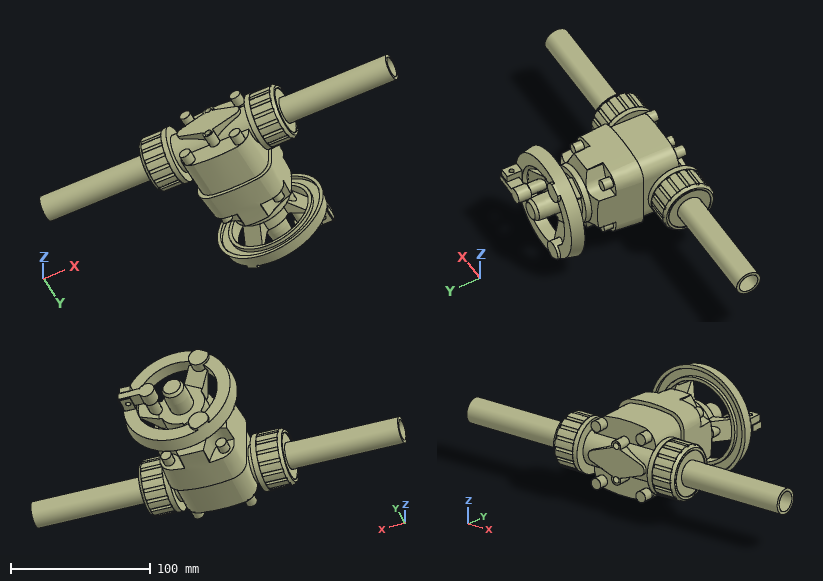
import cadquery as cq
import math


pipe_length = 280.0
pipe_diameter = 20.0
pipe_bore = 15.0
spigot_diameter = 28.8

nut_inner_x = 31.5
nut_collar_x = 35.8
nut_bevel_x = 52.0
nut_end_x = 54.5
nut_radius = 21.5
nut_end_radius = 19.3
nut_grip_radius = 21.3
nut_recess_diameter = 34.7
nut_recess_depth = 0.8
groove_count = 16
groove_radius = 1.25

body_base_y = -6.2
bonnet_base_y = 24.5
pocket_floor_y = 46.5
bonnet_top_y = 63.0
bonnet_height = bonnet_top_y - bonnet_base_y
bonnet_inset = 2.8
bonnet_taper = math.degrees(math.atan(bonnet_inset / bonnet_height))
body_quarter = (27.5, 15.7, (25.0, 23.5), (17.5, 28.5), 30.0)
bonnet_quarter = (30.0, 18.0, (27.2, 26.3), (20.0, 31.0), 33.0)
roof_edge_radius = 39.2
roof_edge_y = 56.5
pocket_mouth_x, pocket_mouth_z = 9.5, 29.7
pocket_floor_z = 14.0
pocket_arc_x = 22.5
pocket_radius = 10.0
pocket_wall_tilt = math.radians(22.0)
pocket_reach = 56.0

body_bolt_x, body_bolt_z = 20.2, 22.5
body_bolt_diameter = 8.7
body_bolt_end_y = -14.3
bonnet_bolt_x, bonnet_bolt_z = 21.0, 21.3
bonnet_bolt_diameter = 8.0
bonnet_bolt_end_y = 54.0

foot_y = -16.8
foot_tip_x = 25.2
foot_shoulder_x, foot_shoulder_z = 21.5, 4.5
foot_middle_x, foot_middle_z = 3.5, 11.2
foot_boss_z = 13.2
foot_boss_diameter = 8.0
foot_hole_diameter = 5.0
foot_hole_depth = 5.5

flange_radius = 45.0 / 2
flange_top_y = 67.8
hub_radius = 17.5
hub_top_y = 79.0
cap_base_radius = 9.0
cap_radius = 8.5
cap_bevel = 1.7
cap_shoulder_y = 98.3
cap_top_y = 100.8
wheel_radius = 86.0 / 2
wheel_top_radius = 41.0
wheel_bottom_y = 80.0
wheel_top_y = 90.2
wheel_hole_radius = 30.8
wheel_groove_inner_radius = 33.5
wheel_groove_outer_radius = 40.0
wheel_groove_depth = 2.8
spoke_count = 3
spoke_angle = 360.0 / spoke_count
spoke_width = 16.2
spoke_foot_radius = 18.2
spoke_rim_radius = 32.0
spoke_slope_top_y = 86.8
pad_radius = 7.5
pad_distance = 34.7
pad_top_y = 92.5

crank_pin_x = 19.3
crank_pin_diameter = 9.0
crank_bottom_y = 92.7
crank_top_y = 103.3
crank_hub_x = 18.5
crank_hub_diameter = 11.8
crank_arm_end_x = 40.3
crank_arm_thickness = 5.5
crank_tab_x, crank_tab_length = 35.3, 8.5
crank_tab_low_z, crank_tab_high_z = -3.5, 8.5
crank_tab_top_y = 102.5
crank_hole_x, crank_hole_y = 34.5, 97.0
crank_hole_diameter = 3.5


def cylinder_x(x0, x1, diameter):
    return cq.Workplane("YZ", origin=(x0, 0, 0)).circle(diameter / 2).extrude(x1 - x0)


def cylinder_y(x, z, y0, y1, diameter):
    return cq.Workplane("ZX", origin=(x, y0, z)).circle(diameter / 2).extrude(y1 - y0)


def block(x0, x1, y0, y1, z0, z1):
    return cq.Workplane("XY", origin=(x0, y0, z0)).box(x1 - x0, y1 - y0, z1 - z0, centered=False)


def revolve_about_y(profile):
    return cq.Workplane("XY").polyline(profile).close().revolve(360, (0, 0, 0), (0, 1, 0))


def four_corners(solid_at, x, z):
    corners = cq.Workplane("XY")
    for sx in (-1, 1):
        for sz in (-1, 1):
            corners = corners.union(solid_at(sx * x, sz * z))
    return corners


def rounded_outline(y, side, corner_start, corner_middle, corner_end, crown):
    """Barrel outline in a plane across Y; corner points are (x, z) in the +X +Z quarter."""
    x0, z0 = side, corner_start
    xm, zm = corner_middle
    x1, z1 = corner_end
    return (
        cq.Workplane("ZX", origin=(0, y, 0))
        .moveTo(-z0, x0)
        .lineTo(z0, x0)
        .threePointArc((zm, xm), (z1, x1))
        .threePointArc((crown, 0), (z1, -x1))
        .threePointArc((zm, -xm), (z0, -x0))
        .lineTo(-z0, -x0)
        .threePointArc((-zm, -xm), (-z1, -x1))
        .threePointArc((-crown, 0), (-z1, x1))
        .threePointArc((-zm, xm), (-z0, x0))
        .close()
    )


def make_union_nut():
    nut = (
        cq.Workplane("XY")
        .polyline([
            (nut_inner_x, 0),
            (nut_inner_x, nut_radius),
            (nut_collar_x, nut_radius),
            (nut_collar_x, nut_grip_radius),
            (nut_bevel_x, nut_grip_radius),
            (nut_end_x, nut_end_radius),
            (nut_end_x, 0),
        ])
        .close()
        .revolve(360, (0, 0, 0), (1, 0, 0))
    )
    grooves = (
        cq.Workplane("YZ", origin=(nut_collar_x, 0, 0))
        .polarArray(nut_grip_radius, 0, 360, groove_count)
        .circle(groove_radius)
        .extrude(nut_bevel_x - nut_collar_x)
    )
    recess = cylinder_x(nut_end_x - nut_recess_depth, nut_end_x, nut_recess_diameter)
    return nut.cut(grooves).cut(recess)


def make_pipe_run():
    run = cylinder_x(-nut_collar_x, nut_collar_x, spigot_diameter)
    nut = make_union_nut()
    run = run.union(nut).union(nut.mirror("YZ"))
    half = pipe_length / 2
    for start, end in ((-half, -nut_inner_x), (half, nut_inner_x)):
        run = run.union(cylinder_x(start, end, pipe_diameter))
        run = run.cut(cylinder_x(start, end, pipe_bore))
    return run


def make_body():
    outline = rounded_outline(body_base_y, *body_quarter)
    body = outline.extrude(bonnet_base_y - body_base_y)
    bolts = four_corners(
        lambda x, z: cylinder_y(x, z, body_bolt_end_y, body_base_y, body_bolt_diameter),
        body_bolt_x, body_bolt_z)
    return body.union(bolts)


def make_corner_pocket():
    """Recess at the +X +Z bonnet corner, with a round inner corner and open outward."""
    arc_z = pocket_floor_z + pocket_radius
    arc_middle = math.radians(60.0)

    def arc_point(angle):
        return arc_z - pocket_radius * math.sin(angle), pocket_arc_x - pocket_radius * math.cos(angle)

    return (
        cq.Workplane("ZX", origin=(0, pocket_floor_y, 0))
        .moveTo(pocket_floor_z, pocket_reach)
        .lineTo(pocket_floor_z, pocket_arc_x)
        .threePointArc(arc_point(arc_middle), arc_point(pocket_wall_tilt))
        .lineTo(pocket_mouth_z, pocket_mouth_x)
        .lineTo(pocket_reach, pocket_mouth_x)
        .lineTo(pocket_reach, pocket_reach)
        .close()
        .extrude(bonnet_top_y - pocket_floor_y)
    )


def make_bonnet():
    outline = rounded_outline(bonnet_base_y, *bonnet_quarter)
    bonnet = outline.extrude(bonnet_height, taper=bonnet_taper)
    bonnet = bonnet.intersect(revolve_about_y([
        (0, bonnet_base_y),
        (roof_edge_radius, bonnet_base_y),
        (roof_edge_radius, roof_edge_y),
        (flange_radius, bonnet_top_y),
        (0, bonnet_top_y),
    ]))
    pocket = make_corner_pocket()
    for tool in (pocket, pocket.mirror("YZ")):
        bonnet = bonnet.cut(tool).cut(tool.mirror("XY"))
    bolts = four_corners(
        lambda x, z: cylinder_y(x, z, pocket_floor_y, bonnet_bolt_end_y, bonnet_bolt_diameter),
        bonnet_bolt_x, bonnet_bolt_z)
    return bonnet.union(bolts)


def make_foot():
    foot = (
        cq.Workplane("ZX", origin=(0, foot_y, 0))
        .moveTo(foot_middle_z, foot_middle_x)
        .lineTo(foot_shoulder_z, foot_shoulder_x)
        .threePointArc((0, foot_tip_x), (-foot_shoulder_z, foot_shoulder_x))
        .lineTo(-foot_middle_z, foot_middle_x)
        .lineTo(-foot_middle_z, -foot_middle_x)
        .lineTo(-foot_shoulder_z, -foot_shoulder_x)
        .threePointArc((0, -foot_tip_x), (foot_shoulder_z, -foot_shoulder_x))
        .lineTo(foot_middle_z, -foot_middle_x)
        .close()
        .extrude(body_base_y - foot_y)
    )
    for z in (-foot_boss_z, foot_boss_z):
        foot = foot.union(cylinder_y(0, z, foot_y, body_base_y, foot_boss_diameter))
    return foot


def make_foot_holes():
    holes = cq.Workplane("XY")
    for z in (-foot_boss_z, foot_boss_z):
        holes = holes.union(cylinder_y(0, z, foot_y, foot_y + foot_hole_depth, foot_hole_diameter))
    return holes


def make_spindle():
    return revolve_about_y([
        (0, bonnet_top_y),
        (flange_radius, bonnet_top_y),
        (flange_radius, flange_top_y),
        (hub_radius, flange_top_y),
        (hub_radius, hub_top_y),
        (cap_base_radius, hub_top_y),
        (cap_base_radius, wheel_top_y),
        (cap_radius, cap_shoulder_y),
        (cap_radius - cap_bevel, cap_top_y),
        (0, cap_top_y),
    ])


def make_handwheel():
    groove_floor_y = wheel_bottom_y + wheel_groove_depth
    wheel = revolve_about_y([
        (wheel_radius, wheel_bottom_y),
        (wheel_top_radius, wheel_top_y),
        (wheel_hole_radius, wheel_top_y),
        (wheel_hole_radius, wheel_bottom_y),
        (wheel_groove_inner_radius, wheel_bottom_y),
        (wheel_groove_inner_radius, groove_floor_y),
        (wheel_groove_outer_radius, groove_floor_y),
        (wheel_groove_outer_radius, wheel_bottom_y),
    ])
    spoke = (
        cq.Workplane("XY", origin=(0, 0, -spoke_width / 2))
        .polyline([
            (0, flange_top_y),
            (spoke_foot_radius, flange_top_y),
            (spoke_rim_radius, spoke_slope_top_y),
            (hub_radius, hub_top_y),
            (0, hub_top_y),
        ])
        .close()
        .extrude(spoke_width)
    )
    for i in range(spoke_count):
        wheel = wheel.union(spoke.rotate((0, 0, 0), (0, 1, 0), i * spoke_angle))
    pad = cylinder_y(pad_distance, 0, groove_floor_y, pad_top_y, 2 * pad_radius)
    pad = pad.intersect(cylinder_y(0, 0, groove_floor_y, pad_top_y, 2 * wheel_top_radius))
    for i in range(1, spoke_count):
        wheel = wheel.union(pad.rotate((0, 0, 0), (0, 1, 0), i * spoke_angle))
    return wheel


def make_crank():
    crank = cylinder_y(crank_pin_x, 0, flange_top_y, crank_bottom_y, crank_pin_diameter)
    crank = crank.union(
        cylinder_y(crank_hub_x, 0, crank_bottom_y, crank_top_y, crank_hub_diameter))
    arm_half = crank_arm_thickness / 2
    crank = crank.union(
        block(crank_hub_x, crank_arm_end_x, crank_bottom_y, crank_top_y, -arm_half, arm_half))
    tab_start = crank_tab_x - crank_tab_length / 2
    tab_end = crank_tab_x + crank_tab_length / 2
    crank = crank.union(
        block(tab_start, tab_end, wheel_top_y, crank_tab_top_y, crank_tab_low_z, crank_tab_high_z))
    hole = (
        cq.Workplane("XY")
        .center(crank_hole_x, crank_hole_y)
        .circle(crank_hole_diameter / 2)
        .extrude(crank_tab_high_z, both=True)
    )
    return crank.cut(hole)


result = (
    make_pipe_run()
    .union(make_body())
    .union(make_foot())
    .cut(make_foot_holes())
    .union(make_bonnet())
    .union(make_spindle())
    .union(make_handwheel())
    .union(make_crank())
)